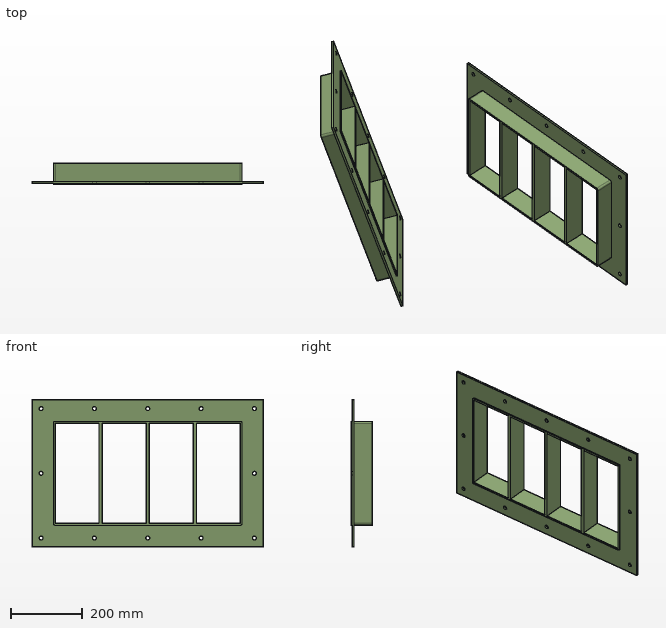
import cadquery as cq

plate_width = 644.0
plate_height = 410.0
plate_thickness = 6.0

frame_width = 526.0
frame_height = 290.0
frame_depth = 60.0
frame_wall = 6.0
frame_corner_radius = 6.0
front_lip = 3.0

opening_count = 4
divider_thickness = 9.5

hole_diameter = 10.0
hole_span_x = 594.5
hole_span_z = 360.5
hole_columns = 5
hole_rows = 3

opening_height = frame_height - 2 * frame_wall
inner_width = frame_width - 2 * frame_wall
opening_width = (inner_width - (opening_count - 1) * divider_thickness) / opening_count
opening_pitch = opening_width + divider_thickness


def block(width, height, front, depth):
    """Box centred in X and Z, running from y = front toward +Y."""
    return cq.Workplane("XY").box(width, depth, height).translate((0, front + depth / 2, 0))


def hole_points():
    """Evenly spaced grid positions, keeping only those on the perimeter."""
    points = []
    for column in range(hole_columns):
        for row in range(hole_rows):
            on_side = column in (0, hole_columns - 1)
            on_end = row in (0, hole_rows - 1)
            if on_side or on_end:
                x = hole_span_x * (column / (hole_columns - 1) - 0.5)
                z = hole_span_z * (row / (hole_rows - 1) - 0.5)
                points.append((x, z))
    return points


bolt_holes = (
    cq.Workplane("XZ")
    .pushPoints(hole_points())
    .circle(hole_diameter / 2)
    .extrude(-plate_thickness)
)
plate = block(plate_width, plate_height, 0, plate_thickness).cut(bolt_holes)

frame = block(frame_width, frame_height, -front_lip, frame_depth)
frame = frame.edges("|Y").fillet(frame_corner_radius)
result = plate.union(frame)

for index in range(opening_count):
    opening_x = (index - (opening_count - 1) / 2) * opening_pitch
    opening = block(opening_width, opening_height, -front_lip, frame_depth)
    result = result.cut(opening.translate((opening_x, 0, 0)))